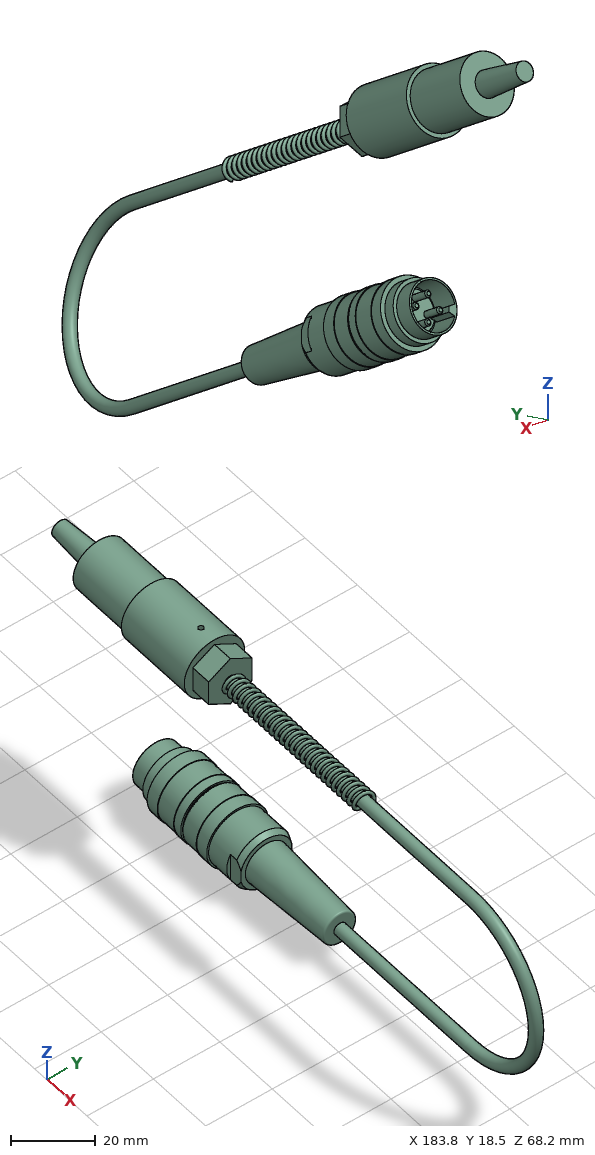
import cadquery as cq
import math

axis_spacing = 49.8
total_length = 183.8

tip_length = 15.0
tip_end_diameter = 5.1
tip_root_diameter = 7.0
nose_barrel_end = 35.0
nose_barrel_diameter = 16.0
main_barrel_end = 59.0
main_barrel_diameter = 18.2
hex_end = 65.0
hex_across_flats = 13.0
vent_diameter = 1.49
vent_position = 53.9
vent_depth = 1.8

cable_diameter = 3.7
bend_radius = axis_spacing / 2
bend_start = total_length - bend_radius - cable_diameter / 2

spring_diameter = 6.3
spring_wire_diameter = 1.0
spring_length = 52.5
spring_turns = 26

plug_start = 36.5
plug_diameter = 14.0
plug_bore_diameter = 12.9
plug_bore_depth = 7.4
bore_floor = plug_start + plug_bore_depth
shoulder_start = 41.7
shoulder_diameter = 16.0
insert_diameter = 11.5
insert_height = 0.5
ring_start = 45.0
ring_end = 67.8
ring_diameter = 18.5
band_depth = 0.2
groove_start = 57.9
groove_end = 58.5
bands = ((48.9, 55.1), (groove_end, 63.8))
groove_depth = 0.5
back_shell_diameter = 17.5
back_shell_end = 77.2
back_shell_taper_end = 78.9
back_shell_rear_diameter = 15.6
flat_start = 74.8
flat_spacing = 15.3
boot_end = 107.0
boot_root_diameter = 12.7
boot_end_diameter = 10.0
boot_rounding = 0.5
key_tip_radius = 4.6
key_tip_width = 1.5
key_root_width = 3.3

pin_count = 4
pin_diameter = 1.8
pin_circle_radius = 3.5
pin_length = 5.5
pin_chamfer = 0.4


def turned(profile):
    """Solid of revolution about the X axis from (x, radius) points that start and end on the axis."""
    return cq.Workplane("XY").polyline(profile).close().revolve(360, (0, 0, 0), (1, 0, 0))


def rod(start, end, diameter):
    return cq.Workplane("YZ").workplane(offset=start).circle(diameter / 2).extrude(end - start)


def collar(start, end, inner_diameter, outer_diameter):
    return rod(start, end, outer_diameter).cut(rod(start, end, inner_diameter))


def make_probe():
    body = turned([
        (0, 0),
        (0, tip_end_diameter / 2),
        (tip_length, tip_root_diameter / 2),
        (tip_length, nose_barrel_diameter / 2),
        (nose_barrel_end, nose_barrel_diameter / 2),
        (nose_barrel_end, main_barrel_diameter / 2),
        (main_barrel_end, main_barrel_diameter / 2),
        (main_barrel_end, 0),
    ])
    hexagon = (
        cq.Workplane("YZ").workplane(offset=main_barrel_end)
        .transformed(rotate=(0, 0, 90))
        .polygon(6, hex_across_flats / math.cos(math.pi / 6))
        .extrude(hex_end - main_barrel_end)
    )
    vent = (
        cq.Workplane("XY").workplane(offset=main_barrel_diameter / 2 - vent_depth)
        .center(vent_position, 0).circle(vent_diameter / 2).extrude(2 * vent_depth)
    )
    return body.union(hexagon).cut(vent)


def make_cable():
    path = (
        cq.Workplane("XZ").moveTo(hex_end, 0).lineTo(bend_start, 0)
        .threePointArc((bend_start + bend_radius, -bend_radius), (bend_start, -axis_spacing))
        .lineTo(boot_end, -axis_spacing)
    )
    return cq.Workplane("YZ").workplane(offset=hex_end).circle(cable_diameter / 2).sweep(path)


def make_spring():
    coil_radius = (spring_diameter - spring_wire_diameter) / 2
    rise = spring_length - spring_wire_diameter
    pitch = rise / spring_turns
    helix = cq.Wire.makeHelix(pitch, rise, coil_radius, lefthand=True)
    wire_section = cq.Workplane("XZ").center(coil_radius, 0).circle(spring_wire_diameter / 2)
    spring = wire_section.sweep(cq.Workplane(helix), isFrenet=True)
    return (
        spring.rotate((0, 0, 0), (0, 1, 0), 90)
        .translate((hex_end + spring_wire_diameter / 2, 0, 0))
    )


def make_key():
    """Wedge-shaped rib inside the plug bore, on the -Y side, rooted in the plug wall."""
    root_radius = (plug_bore_diameter + plug_diameter) / 4
    return (
        cq.Workplane("YZ").workplane(offset=plug_start)
        .polyline([
            (-root_radius, -key_root_width / 2),
            (-key_tip_radius, -key_tip_width / 2),
            (-key_tip_radius, key_tip_width / 2),
            (-root_radius, key_root_width / 2),
        ]).close().extrude(bore_floor - plug_start)
    )


def make_connector():
    body = turned([
        (plug_start, 0),
        (plug_start, plug_diameter / 2),
        (shoulder_start, plug_diameter / 2),
        (shoulder_start, shoulder_diameter / 2),
        (ring_start, shoulder_diameter / 2),
        (ring_start, ring_diameter / 2),
        (ring_end, ring_diameter / 2),
        (ring_end, back_shell_diameter / 2),
        (back_shell_end, back_shell_diameter / 2),
        (back_shell_taper_end, back_shell_rear_diameter / 2),
        (back_shell_taper_end, 0),
    ])
    for start, end in bands:
        body = body.cut(collar(start, end, ring_diameter - 2 * band_depth, ring_diameter))
    body = body.cut(collar(groove_start, groove_end, ring_diameter - 2 * groove_depth, ring_diameter))
    for side in (-1, 1):
        flat = cq.Workplane("XY").box(
            back_shell_taper_end - flat_start, ring_diameter, ring_diameter, centered=(False, True, True)
        ).translate((flat_start, side * (flat_spacing + ring_diameter) / 2, 0))
        body = body.cut(flat)
    boot = turned([
        (back_shell_taper_end, 0),
        (back_shell_taper_end, boot_root_diameter / 2),
        (boot_end, boot_end_diameter / 2),
        (boot_end, 0),
    ]).faces(">X").edges().fillet(boot_rounding)
    bore = rod(plug_start, bore_floor, plug_bore_diameter)
    relief = collar(bore_floor, bore_floor + insert_height, insert_diameter, plug_bore_diameter)
    body = body.union(boot).cut(bore).cut(relief).union(make_key())
    return body.translate((0, 0, -axis_spacing))


def make_pin(index):
    angle = 2 * math.pi * index / pin_count
    pin = rod(bore_floor - pin_length, bore_floor, pin_diameter).faces("<X").chamfer(pin_chamfer)
    return pin.translate((
        0,
        pin_circle_radius * math.cos(angle),
        pin_circle_radius * math.sin(angle) - axis_spacing,
    ))


probe = make_probe()
cable = make_cable()
spring = make_spring()
connector = make_connector()
pins = [make_pin(index).val() for index in range(pin_count)]

result = cq.Compound.makeCompound([probe.val(), cable.val(), spring.val(), connector.val(), *pins])